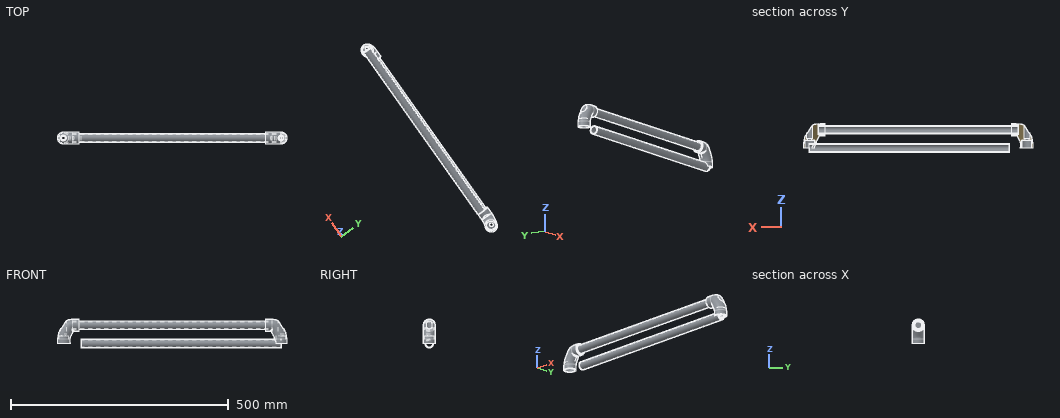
import cadquery as cq

overall_length = 527.5
rail_height = 42.0

foot_length = 29.5
elbow_diameter = 28.0
elbow_length = 50.0
socket_chamfer = 1.0

bend_start_height = 10.5
bend_middle_inset = 23.0
bend_middle_height = 32.5
bend_end_inset = 34.5

recess_diameter = 22.0
recess_depth = 18.0

screw_diameter = 8.5
screw_inset = elbow_diameter / 2
counterbore_diameter = 13.0
counterbore_floor = 22.0

tube_diameter = 20.0
tube_bore = 16.0
loose_tube_length = 460.0
loose_tube_inset = 54.5

end_x = -overall_length / 2
leg_x = end_x + foot_length / 2
screw_x = end_x + screw_inset
socket_x = end_x + elbow_length
elbow_top = rail_height + elbow_diameter / 2

rail_start_x = end_x + bend_end_inset
rail_length = overall_length - 2 * bend_end_inset
loose_tube_x = end_x + loose_tube_inset


def rod(diameter, x, z, length):
    """Solid cylinder along +X from its start face."""
    return cq.Workplane("YZ", origin=(x, 0, z)).circle(diameter / 2).extrude(length)


def tube(x, z, length):
    """Open-ended tube along +X."""
    return rod(tube_diameter, x, z, length).cut(rod(tube_bore, x, z, length))


def upright_cutter(diameter, x, bottom, top):
    """Solid cylinder along +Z between two heights."""
    return cq.Workplane("XY", origin=(x, 0, bottom)).circle(diameter / 2).extrude(top - bottom)


def elbow_bar():
    """Solid bar swept from the oval foot, round the bend, to the round socket end."""
    path = (
        cq.Workplane("XZ")
        .moveTo(leg_x, 0)
        .lineTo(leg_x, bend_start_height)
        .spline(
            [(end_x + bend_middle_inset, bend_middle_height), (end_x + bend_end_inset, rail_height)],
            tangents=[(0, 1), (1, 0)],
            includeCurrent=True,
        )
        .lineTo(socket_x, rail_height)
    )
    foot_plane = cq.Plane(origin=(leg_x, 0, 0), xDir=(1, 0, 0), normal=(0, 0, 1))
    socket_plane = cq.Plane(origin=(socket_x, 0, rail_height), xDir=(0, 0, -1), normal=(1, 0, 0))
    foot = cq.Workplane(foot_plane).ellipse(foot_length / 2, elbow_diameter / 2)
    socket = cq.Workplane(socket_plane).circle(elbow_diameter / 2)
    sections = cq.Workplane("XY").newObject([foot.val(), socket.val()]).toPending()
    return sections.sweep(path, multisection=True)


def elbow():
    """Left elbow with its socket, screw hole and foot recess."""
    body = elbow_bar().faces(">X").chamfer(socket_chamfer)
    body = body.cut(upright_cutter(screw_diameter, screw_x, 0, elbow_top))
    body = body.cut(upright_cutter(counterbore_diameter, screw_x, counterbore_floor, elbow_top))
    body = body.cut(upright_cutter(recess_diameter, leg_x, 0, recess_depth))
    return body.cut(rod(tube_diameter, rail_start_x, rail_height, rail_length))


left_elbow = elbow()

right_elbow = left_elbow.mirror("YZ").cut(rod(tube_diameter, loose_tube_x, 0, loose_tube_length))

rail_tube = tube(rail_start_x, rail_height, rail_length)
loose_tube = tube(loose_tube_x, 0, loose_tube_length)

bodies = [left_elbow, right_elbow, rail_tube, loose_tube]
result = cq.Compound.makeCompound([solid for body in bodies for solid in body.solids().vals()])